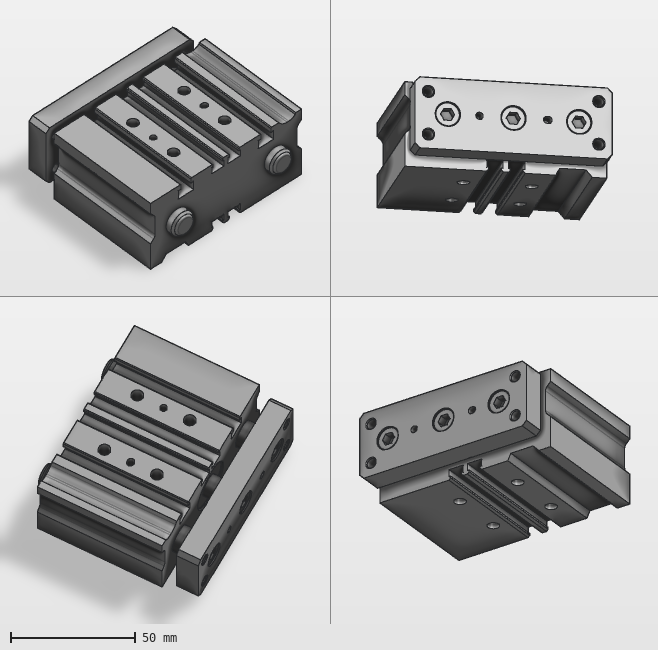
import cadquery as cq
import math


HOUSING_LENGTH = 57.0
HOUSING_WIDTH = 83.0
HOUSING_HEIGHT = 36.0
MID_HEIGHT = HOUSING_HEIGHT / 2

PLATE_THICKNESS = 10.05
PLATE_WIDTH = 81.0
PLATE_HEIGHT = 30.0
PLATE_CHAMFER = 2.0
PLATE_GAP = 6.0
HOUSING_FRONT = PLATE_THICKNESS + PLATE_GAP
HOUSING_BACK = HOUSING_FRONT + HOUSING_LENGTH

ROD_SPACING = 53.95
GUIDE_ROD_DIAMETER = 11.95
GUIDE_ROD_OVERHANG = 5.0
GUIDE_ROD_TIP_CHAMFER = 1.0
GUIDE_ROD_TIP_RADIUS = 1.0
PISTON_ROD_DIAMETER = 10.0
PISTON_ROD_INSERTION = 28.2
HEAD_DIAMETER = 9.6
HEX_SIDES = 6
HEX_ACROSS_FLATS = 5.0
HEX_DEPTH = 4.15
COUNTERBORE_DIAMETER = 10.3
HEAD_RECESS = 0.7

RECESS_DIAMETER = 21.0
RECESS_DEPTH = 1.0
RECESS_CHAMFER = 0.5

T_SLOT_OFFSET = 22.0
T_SLOT_WIDTH = 5.3
T_SLOT_UNDERCUT = 8.4
T_SLOT_LIP = 2.7
T_SLOT_DEPTH = 7.2
T_SLOT_CHAMFER = 0.4

SENSOR_SLOT_OFFSET = 4.5
SENSOR_SLOT_WIDTH = 5.2
SENSOR_SLOT_UNDERCUT = 6.6
SENSOR_SLOT_LIP = 1.7
SENSOR_SLOT_DEPTH = 4.8
SENSOR_SLOT_TOP_CHAMFER = 0.4
SENSOR_SLOT_BOTTOM_CHAMFER = 0.8

SIDE_GROOVE_HEIGHT = 22.0
SIDE_GROOVE_MOUTH = 16.3
SIDE_GROOVE_DEPTH = 2.5
SIDE_GROOVE_RADIUS = 2.7

TOP_GROOVE_OFFSET = 34.0
TOP_GROOVE_DEPTH = 2.6
TOP_GROOVE_FLOOR = 0.9
TOP_GROOVE_RADIUS = 5.0
LAND_INNER_EDGE = 38.35
LAND_DROP = 0.3

POCKET_INNER_MOUTH = -20.7
POCKET_INNER_FLOOR = -22.2
POCKET_OUTER_FLOOR = -32.9
POCKET_OUTER_MOUTH = -35.4
POCKET_DEPTH = 3.0

MOUNT_HOLE_DIAMETER = 5.1
MOUNT_HOLE_SPACING = 24.0
MOUNT_CENTRE_SETBACK = 29.05
MOUNT_CENTRE = HOUSING_FRONT + MOUNT_CENTRE_SETBACK
DOWEL_OFFSET = 14.0
DOWEL_DIAMETER = 3.0
DOWEL_SLOT_LENGTH = 3.5
DOWEL_DEPTH = 6.0
PLATE_HOLE_DIAMETER = 4.2
PLATE_HOLE_CHAMFER = 0.4
PLATE_HOLE_SPACING_Y = 70.0
PLATE_HOLE_SPACING_Z = 18.0

COS_45 = math.cos(math.pi / 4)


def across(x):
    """Workplane at a given X whose local axes are Y and Z, with its origin at mid height."""
    return cq.Workplane("YZ", origin=(x, 0, MID_HEIGHT))


def lengthwise_cut(outline):
    """Cutter with a Y-Z outline, running the full housing length."""
    return outline.close().extrude(HOUSING_LENGTH)


def undercut_slot(offset, width, undercut, lip, depth, chamfer):
    """Slot in the top face with chamfered lips over a wider bottom."""
    top = HOUSING_HEIGHT
    right_half = [
        (width / 2 + chamfer, top),
        (width / 2, top - chamfer),
        (width / 2, top - lip),
        (undercut / 2, top - lip),
        (undercut / 2, top - depth),
    ]
    left_half = [(-y, z) for y, z in reversed(right_half)]
    outline = cq.Workplane("YZ", origin=(HOUSING_FRONT, offset, 0)).polyline(right_half + left_half)
    return lengthwise_cut(outline)


def t_slot(offset):
    """Outer T-slot in the top face."""
    return undercut_slot(
        offset, T_SLOT_WIDTH, T_SLOT_UNDERCUT, T_SLOT_LIP, T_SLOT_DEPTH, T_SLOT_CHAMFER
    )


def sensor_slot(offset, chamfer):
    """Sensor slot in the top face."""
    return undercut_slot(
        offset, SENSOR_SLOT_WIDTH, SENSOR_SLOT_UNDERCUT, SENSOR_SLOT_LIP, SENSOR_SLOT_DEPTH, chamfer
    )


def underside(cutter):
    """Turn a top-face cutter over onto the bottom face."""
    return cutter.mirror("XY", (0, 0, MID_HEIGHT))


def side_groove():
    """Groove in the +Y side: 45 degree flanks that run into the floor through arcs."""
    side = HOUSING_WIDTH / 2
    floor = side - SIDE_GROOVE_DEPTH
    arc_depth = SIDE_GROOVE_RADIUS * (1 - COS_45)
    flank = SIDE_GROOVE_DEPTH - arc_depth
    mouth = SIDE_GROOVE_MOUTH / 2
    flank_end = mouth - flank
    floor_end = flank_end - SIDE_GROOVE_RADIUS * COS_45
    outline = (
        cq.Workplane("YZ", origin=(HOUSING_FRONT, 0, SIDE_GROOVE_HEIGHT))
        .moveTo(side, -mouth)
        .lineTo(side - flank, -flank_end)
        .tangentArcPoint((floor, -floor_end), relative=False)
        .lineTo(floor, floor_end)
        .tangentArcPoint((side - flank, flank_end), relative=False)
        .lineTo(side, mouth)
    )
    return lengthwise_cut(outline)


def top_groove():
    """Rounded groove in the top face, together with the lowered land beside it."""
    top = HOUSING_HEIGHT
    floor = top - TOP_GROOVE_DEPTH
    floor_half = TOP_GROOVE_FLOOR / 2
    arc_half = floor_half + TOP_GROOVE_RADIUS * COS_45
    arc_end = floor + TOP_GROOVE_RADIUS * (1 - COS_45)
    outline = (
        cq.Workplane("YZ", origin=(HOUSING_FRONT, 0, 0))
        .moveTo(HOUSING_WIDTH / 2, top)
        .lineTo(TOP_GROOVE_OFFSET - arc_half - (top - arc_end), top)
        .lineTo(TOP_GROOVE_OFFSET - arc_half, arc_end)
        .tangentArcPoint((TOP_GROOVE_OFFSET - floor_half, floor), relative=False)
        .lineTo(TOP_GROOVE_OFFSET + floor_half, floor)
        .tangentArcPoint((TOP_GROOVE_OFFSET + arc_half, arc_end), relative=False)
        .lineTo(LAND_INNER_EDGE, top - LAND_DROP)
        .lineTo(HOUSING_WIDTH / 2, top - LAND_DROP)
    )
    return lengthwise_cut(outline)


def bottom_pocket():
    """Flat-floored pocket along the underside, on the -Y half."""
    outline = cq.Workplane("YZ", origin=(HOUSING_FRONT, 0, 0)).polyline(
        [
            (POCKET_INNER_MOUTH, 0),
            (POCKET_INNER_FLOOR, POCKET_DEPTH),
            (POCKET_OUTER_FLOOR, POCKET_DEPTH),
            (POCKET_OUTER_MOUTH, 0),
        ]
    )
    return lengthwise_cut(outline)


def housing_body():
    """Housing with its lengthwise slots and grooves, drilled holes and front recess."""
    body = across(HOUSING_FRONT).rect(HOUSING_WIDTH, HOUSING_HEIGHT).extrude(HOUSING_LENGTH)

    for side in (-1, 1):
        body = body.cut(t_slot(side * T_SLOT_OFFSET))
        body = body.cut(sensor_slot(side * SENSOR_SLOT_OFFSET, SENSOR_SLOT_TOP_CHAMFER))
        body = body.cut(underside(sensor_slot(side * SENSOR_SLOT_OFFSET, SENSOR_SLOT_BOTTOM_CHAMFER)))
    body = body.cut(side_groove()).cut(side_groove().mirror("XZ"))
    body = body.cut(top_groove()).cut(bottom_pocket())

    mount_holes = (
        cq.Workplane("XY", origin=(MOUNT_CENTRE, 0, 0))
        .rarray(MOUNT_HOLE_SPACING, 2 * DOWEL_OFFSET, 2, 2)
        .circle(MOUNT_HOLE_DIAMETER / 2)
        .extrude(HOUSING_HEIGHT)
    )
    dowel_plane = cq.Workplane("XY", origin=(MOUNT_CENTRE, 0, HOUSING_HEIGHT))
    round_dowel = dowel_plane.center(0, -DOWEL_OFFSET).circle(DOWEL_DIAMETER / 2).extrude(-DOWEL_DEPTH)
    slotted_dowel = (
        dowel_plane.center(0, DOWEL_OFFSET)
        .slot2D(DOWEL_SLOT_LENGTH, DOWEL_DIAMETER, angle=90)
        .extrude(-DOWEL_DEPTH)
    )
    body = body.cut(mount_holes).cut(round_dowel).cut(slotted_dowel)

    recess = across(HOUSING_FRONT).circle(RECESS_DIAMETER / 2).extrude(RECESS_DEPTH)
    body = body.cut(recess)
    rim = cq.selectors.RadiusNthSelector(-1)
    return body.faces("<X").edges("%CIRCLE").edges(rim).chamfer(RECESS_CHAMFER)


def rod(y, diameter, end):
    """Rod from the plate to `end`, with a socket head that fills the plate hole up to its counterbore."""
    shank = across(PLATE_THICKNESS).center(y, 0).circle(diameter / 2).extrude(end - PLATE_THICKNESS)
    head_length = PLATE_THICKNESS - HEAD_RECESS
    head = across(HEAD_RECESS).center(y, 0).circle(HEAD_DIAMETER / 2).extrude(head_length)
    hex_across_corners = HEX_ACROSS_FLATS / math.cos(math.pi / HEX_SIDES)
    socket = across(HEAD_RECESS).center(y, 0).polygon(HEX_SIDES, hex_across_corners).extrude(HEX_DEPTH)
    return shank.union(head).cut(socket)


def guide_rod(y):
    """Guide rod whose tip is a 45 degree cone followed by a rounded end."""
    tip_length = GUIDE_ROD_TIP_CHAMFER + GUIDE_ROD_TIP_RADIUS
    tip_start = HOUSING_BACK + GUIDE_ROD_OVERHANG - tip_length
    radius = GUIDE_ROD_DIAMETER / 2
    cone_end = radius - GUIDE_ROD_TIP_CHAMFER
    tip = (
        cq.Workplane("XY", origin=(tip_start, y, MID_HEIGHT))
        .lineTo(0, radius)
        .lineTo(GUIDE_ROD_TIP_CHAMFER, cone_end)
        .radiusArc((tip_length, cone_end - GUIDE_ROD_TIP_RADIUS), GUIDE_ROD_TIP_RADIUS)
        .lineTo(tip_length, 0)
        .close()
        .revolve(360, (0, 0), (1, 0))
    )
    return rod(y, GUIDE_ROD_DIAMETER, tip_start).union(tip)


def plate_body():
    """Front plate with chamfered corners, corner holes, rod head holes and dowel holes."""
    body = across(0).rect(PLATE_WIDTH, PLATE_HEIGHT).extrude(PLATE_THICKNESS)
    body = body.edges("|X").chamfer(PLATE_CHAMFER)

    corner_holes = (
        across(0)
        .rarray(PLATE_HOLE_SPACING_Y, PLATE_HOLE_SPACING_Z, 2, 2)
        .circle(PLATE_HOLE_DIAMETER / 2)
        .extrude(PLATE_THICKNESS)
    )
    body = body.cut(corner_holes)
    body = body.faces("<X").edges("%CIRCLE").chamfer(PLATE_HOLE_CHAMFER)

    rod_places = across(0).rarray(ROD_SPACING / 2, 0.8, 3, 1)
    head_holes = rod_places.circle(HEAD_DIAMETER / 2).extrude(PLATE_THICKNESS)
    counterbores = rod_places.circle(COUNTERBORE_DIAMETER / 2).extrude(HEAD_RECESS)

    round_dowel = across(0).center(DOWEL_OFFSET, 0).circle(DOWEL_DIAMETER / 2).extrude(DOWEL_DEPTH)
    slotted_dowel = (
        across(0).center(-DOWEL_OFFSET, 0).slot2D(DOWEL_SLOT_LENGTH, DOWEL_DIAMETER).extrude(DOWEL_DEPTH)
    )
    return body.cut(head_holes).cut(counterbores).cut(round_dowel).cut(slotted_dowel)


plate = plate_body()
guide_rods = [guide_rod(side * ROD_SPACING / 2) for side in (-1, 1)]
piston_rod = rod(0, PISTON_ROD_DIAMETER, HOUSING_FRONT + PISTON_ROD_INSERTION)
housing = housing_body()
for inserted_rod in [*guide_rods, piston_rod]:
    housing = housing.cut(inserted_rod)

result = cq.Compound.makeCompound(
    [housing.val(), plate.val(), piston_rod.val(), *[guide.val() for guide in guide_rods]]
)